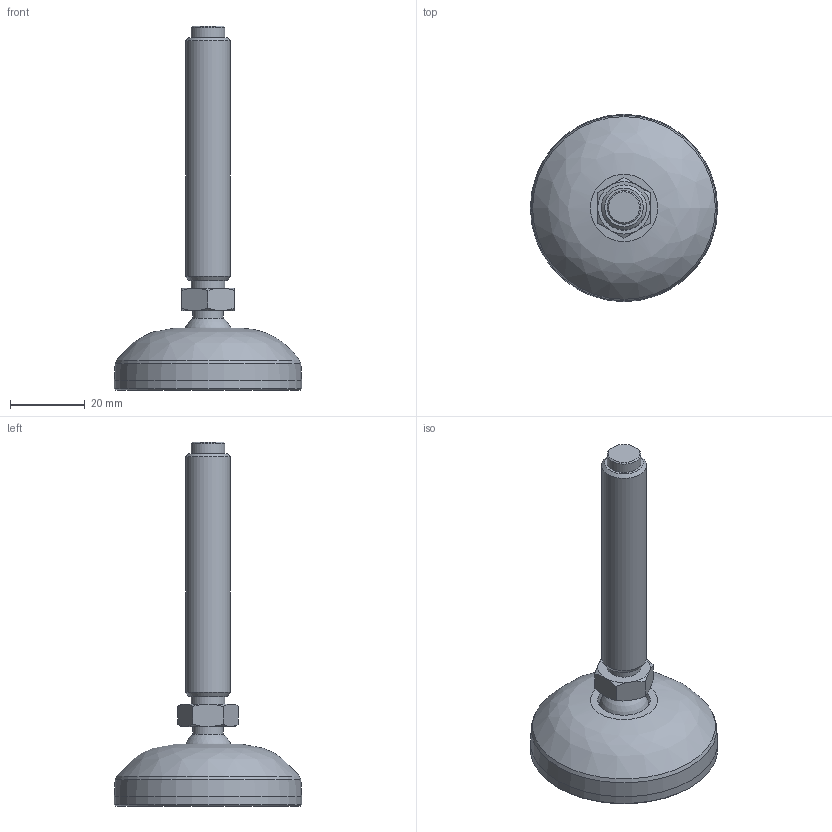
import cadquery as cq
import math

total_height = 97.2

foot_dia = 50.0
foot_bottom_chamfer = 0.4
foot_band_top = 2.6
foot_taper_top = 7.0
foot_taper_radius = 24.8
dome_start_z = 8.0
dome_start_radius = 24.4
dome_mid_z = 12.8
dome_mid_radius = 19.85
foot_top_z = 16.5
foot_flat_dia = 18.0
socket_dia = 14.0

ball_dia = 13.28
ball_neck_dia = 8.06
ball_neck_z = 19.2

hex_sides = 6
hex_across_flats = 14.0
hex_bottom_z = 21.2
hex_top_z = 27.2
hex_face_dia = 14.0
hex_chamfer_angle = 30.0

stud_dia = 12.0
relief_dia = 9.0
stud_bottom_z = 29.2
stud_bottom_chamfer_height = 1.2
stud_bottom_face_dia = 10.4
stud_top_z = 94.1
stud_top_chamfer = 0.85
tip_chamfer = 0.35

ball_radius = ball_dia / 2
ball_centre_z = ball_neck_z - math.sqrt(ball_radius**2 - (ball_neck_dia / 2) ** 2)


def cylinder(diameter, bottom_z, top_z):
    """Upright cylinder on the Z axis."""
    return cq.Workplane("XY").workplane(offset=bottom_z).circle(diameter / 2).extrude(top_z - bottom_z)


def make_foot():
    """Domed disc with a round socket that reaches down to the ball centre."""
    foot_radius = foot_dia / 2
    disc = (
        cq.Workplane("XZ")
        .moveTo(0, 0)
        .lineTo(foot_radius - foot_bottom_chamfer, 0)
        .lineTo(foot_radius, foot_bottom_chamfer)
        .lineTo(foot_radius, foot_band_top)
        .lineTo(foot_taper_radius, foot_taper_top)
        .lineTo(dome_start_radius, dome_start_z)
        .threePointArc((dome_mid_radius, dome_mid_z), (foot_flat_dia / 2, foot_top_z))
        .lineTo(0, foot_top_z)
        .close()
        .revolve(360, (0, 0, 0), (0, 1, 0))
    )
    return disc.cut(cylinder(socket_dia, ball_centre_z, foot_top_z))


def make_ball():
    """Ball seated in the socket, with the neck that carries the hexagon."""
    ball = cq.Workplane("XY").sphere(ball_radius).translate((0, 0, ball_centre_z))
    return ball.union(cylinder(ball_neck_dia, ball_centre_z, hex_bottom_z))


def make_hexagon():
    """Hexagon with corners on the Y axis and both ends chamfered conically."""
    hex_height = hex_top_z - hex_bottom_z
    corner_dia = hex_across_flats / math.cos(math.pi / hex_sides)
    prism = (
        cq.Workplane("XY")
        .workplane(offset=hex_bottom_z)
        .polygon(hex_sides, corner_dia)
        .extrude(hex_height)
        .rotate((0, 0, 0), (0, 0, 1), 90)
    )
    chamfer_width = (corner_dia - hex_face_dia) / 2
    chamfer_height = chamfer_width * math.tan(math.radians(hex_chamfer_angle))
    envelope = (
        cylinder(corner_dia, hex_bottom_z, hex_top_z)
        .faces(">Z").chamfer(chamfer_height, chamfer_width)
        .faces("<Z").chamfer(chamfer_height, chamfer_width)
    )
    return prism.intersect(envelope)


def make_stud():
    """Plain shank with chamfered ends, a relief below it and a tip above it."""
    bottom_chamfer_width = (stud_dia - stud_bottom_face_dia) / 2
    shank = (
        cylinder(stud_dia, stud_bottom_z, stud_top_z)
        .faces(">Z").chamfer(stud_top_chamfer)
        .faces("<Z").chamfer(stud_bottom_chamfer_height, bottom_chamfer_width)
    )
    core = cylinder(relief_dia, hex_top_z, total_height).faces(">Z").chamfer(tip_chamfer)
    return shank.union(core)


result = make_foot().union(make_ball()).union(make_hexagon()).union(make_stud())